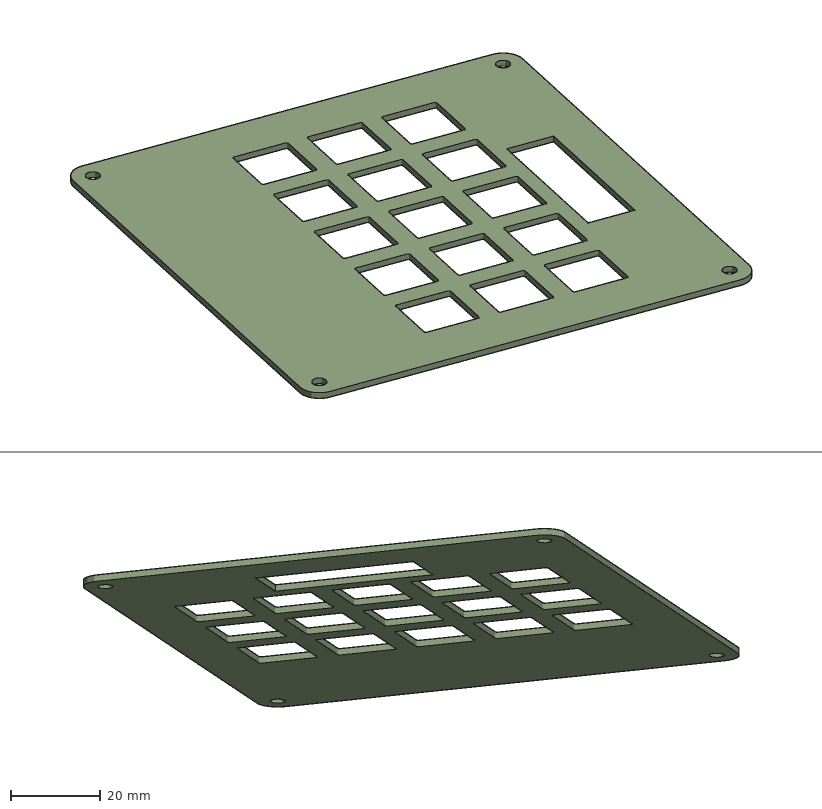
import cadquery as cq

width = 116.0
depth = 115.0
thickness = 1.5
corner_radius = 5.0

hole_diameter = 3.4
hole_spacing_x = width - 2 * corner_radius
hole_spacing_y = depth - 2 * corner_radius

key_columns = 5
key_rows = 3
key_pitch = 19.0
key_size = 14.0
key_corner_radius = 0.5
key_grid_x = -0.1
key_grid_y = 5.0

window_width = 38.0
window_height = 12.0
window_y = 40.8


def make_plate():
    """Flat plate with rounded corners, centred on the origin in X and Y."""
    return cq.Workplane("XY").box(width, depth, thickness).edges("|Z").fillet(corner_radius)


def make_mounting_holes():
    """Through cutters for the four corner holes."""
    return (
        cq.Workplane("XY")
        .rect(hole_spacing_x, hole_spacing_y, forConstruction=True)
        .vertices()
        .circle(hole_diameter / 2)
        .extrude(thickness, both=True)
    )


def make_key_cutouts():
    """Through cutters for the key grid, each with slightly rounded corners."""
    return (
        cq.Workplane("XY")
        .center(key_grid_x, key_grid_y)
        .rarray(key_pitch, key_pitch, key_columns, key_rows)
        .rect(key_size, key_size)
        .extrude(thickness, both=True)
        .edges("|Z")
        .fillet(key_corner_radius)
    )


def make_window():
    """Through cutter for the sharp-cornered display window above the keys."""
    return (
        cq.Workplane("XY")
        .center(0, window_y)
        .rect(window_width, window_height)
        .extrude(thickness, both=True)
    )


result = (
    make_plate()
    .cut(make_mounting_holes())
    .cut(make_key_cutouts())
    .cut(make_window())
)